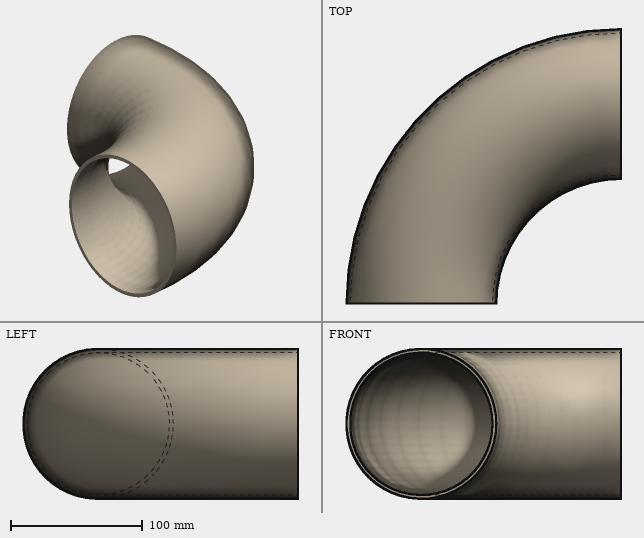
import cadquery as cq

outer_extent = 209.2
outer_diameter = 114.2
wall_thickness = 3.0
bend_angle = 90.0

outer_radius = outer_diameter / 2
inner_radius = outer_radius - wall_thickness
bend_radius = outer_extent - outer_radius


def make_elbow():
    """Revolve the pipe's ring section about the vertical bend axis through the origin."""
    ring = (
        cq.Workplane("XZ")
        .center(-bend_radius, 0)
        .circle(outer_radius)
        .circle(inner_radius)
    )
    axis_start = (bend_radius, 0)
    axis_end = (bend_radius, -1)
    return ring.revolve(bend_angle, axis_start, axis_end)


result = make_elbow()